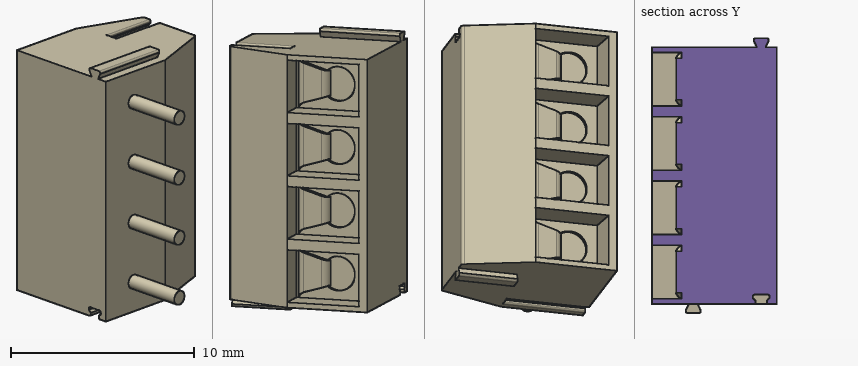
import cadquery as cq
import math

POLES = 4
PITCH = 3.5
HOUSING_WIDTH = 6.8
HOUSING_DEPTH = 8.4
HOUSING_LENGTH = POLES * PITCH
SHOULDER_Y = 4.6
CROWN_INSET = 1.4
CROWN_RADIUS = 0.2

PIN_DIAMETER = 0.8
PIN_LENGTH = 3.5
PIN_Y = 2.15

WINDOW_LENGTH = 2.9
WINDOW_FRONT_Y = 0.47
WINDOW_FLOOR_FRONT_Y = 0.67
WINDOW_DEPTH = 1.6
WIRE_HOLE_DIAMETER = 1.9
WIRE_HOLE_Y = 2.2
WIRE_HOLE_DEPTH = 0.18

GUIDE_RISE = 0.3
GUIDE_ROOT_Y = 4.48
GUIDE_ROOT_FLAT_Y = 4.1
GUIDE_TIP_FLAT_Y = 3.08
GUIDE_TIP_Y = 2.68
GUIDE_FLARE_HALF_WIDTH = 1.1
GUIDE_TIP_HALF_WIDTH = 0.68
GUIDE_FLARE_SAG = 0.07

DOVETAIL_LEFT_X = 2.25
DOVETAIL_RIGHT_X = 5.95
TONGUE_HEIGHT = 0.48
TONGUE_TIP_HEIGHT = 0.15
DOVETAIL_EDGE_RADIUS = 0.1
TONGUE_TIP_HALF_WIDTH = 0.41
TONGUE_NECK_HALF_WIDTH = 0.25
REAR_TONGUE_LENGTH = 3.3
GROOVE_CLEARANCE = 0.04
GROOVE_DEPTH = TONGUE_HEIGHT + GROOVE_CLEARANCE
GROOVE_BASE_HALF_WIDTH = TONGUE_TIP_HALF_WIDTH + GROOVE_CLEARANCE
GROOVE_NECK_HALF_WIDTH = 0.31
GROOVE_LIP_RADIUS = 0.1
GROOVE_NECK_END = 0.2
GROOVE_BASE_START = 0.34


def make_housing():
    """Prism with a tapered rear and rounded rear edges."""
    outline = [
        (0, 0),
        (HOUSING_WIDTH, 0),
        (HOUSING_WIDTH, SHOULDER_Y),
        (HOUSING_WIDTH - CROWN_INSET, HOUSING_DEPTH),
        (CROWN_INSET, HOUSING_DEPTH),
        (0, SHOULDER_Y),
    ]
    housing = cq.Workplane("XY").polyline(outline).close().extrude(HOUSING_LENGTH)
    return housing.faces(">Y").edges("|Z").fillet(CROWN_RADIUS)


def make_pin(z):
    """Round pin standing out of the +X face."""
    return (
        cq.Workplane("YZ", origin=(HOUSING_WIDTH, PIN_Y, z))
        .circle(PIN_DIAMETER / 2)
        .extrude(PIN_LENGTH)
    )


def make_window(z):
    """Window with a sloping front wall, and the wire hole in its floor."""
    outline = [
        (0, WINDOW_FRONT_Y),
        (WINDOW_DEPTH, WINDOW_FLOOR_FRONT_Y),
        (WINDOW_DEPTH, SHOULDER_Y),
        (0, SHOULDER_Y),
    ]
    window = (
        cq.Workplane("XY", origin=(0, 0, z - WINDOW_LENGTH / 2))
        .polyline(outline)
        .close()
        .extrude(WINDOW_LENGTH)
    )
    wire_hole = (
        cq.Workplane("YZ", origin=(WINDOW_DEPTH, WIRE_HOLE_Y, z))
        .circle(WIRE_HOLE_DIAMETER / 2)
        .extrude(WIRE_HOLE_DEPTH)
    )
    return window.union(wire_hole)


def ellipse_midpoint(start, corner, end):
    """Middle of the quarter ellipse from start to end that bulges towards corner."""
    weight = 1 - math.sqrt(0.5)
    return tuple(weight * (s + e) + (1 - 2 * weight) * c for s, c, e in zip(start, corner, end))


def make_guide(z):
    """Raised pad with rounded ends, flared at its root and narrowing to the wire hole."""
    crest_x = WINDOW_DEPTH - GUIDE_RISE
    foot_x = WINDOW_DEPTH + WIRE_HOLE_DEPTH
    root = (WINDOW_DEPTH, GUIDE_ROOT_Y)
    root_flat = (crest_x, GUIDE_ROOT_FLAT_Y)
    tip_flat = (crest_x, GUIDE_TIP_FLAT_Y)
    tip = (foot_x, GUIDE_TIP_Y)
    profile = (
        cq.Workplane("XY", origin=(0, 0, z - WINDOW_LENGTH / 2))
        .moveTo(*root)
        .threePointArc(ellipse_midpoint(root, (crest_x, GUIDE_ROOT_Y), root_flat), root_flat)
        .lineTo(*tip_flat)
        .threePointArc(ellipse_midpoint(tip_flat, (crest_x, GUIDE_TIP_Y), tip), tip)
        .lineTo(foot_x, GUIDE_ROOT_Y)
        .close()
        .extrude(WINDOW_LENGTH)
    )
    root_half = WINDOW_LENGTH / 2
    flare_mid = (
        (GUIDE_ROOT_Y + GUIDE_ROOT_FLAT_Y) / 2,
        (root_half + GUIDE_FLARE_HALF_WIDTH) / 2 - GUIDE_FLARE_SAG,
    )
    plan = (
        cq.Workplane("YZ", origin=(0, 0, z))
        .moveTo(GUIDE_TIP_Y, -GUIDE_TIP_HALF_WIDTH)
        .lineTo(GUIDE_ROOT_FLAT_Y, -GUIDE_FLARE_HALF_WIDTH)
        .threePointArc((flare_mid[0], -flare_mid[1]), (GUIDE_ROOT_Y, -root_half))
        .lineTo(GUIDE_ROOT_Y, root_half)
        .threePointArc(flare_mid, (GUIDE_ROOT_FLAT_Y, GUIDE_FLARE_HALF_WIDTH))
        .lineTo(GUIDE_TIP_Y, GUIDE_TIP_HALF_WIDTH)
        .close()
        .extrude(foot_x)
    )
    return profile.intersect(plan)


def make_tongue(x, z, outward, y_start, y_end):
    """Dovetail tongue along Y; outward is +1 on the top face and -1 on the bottom face."""
    shoulder = TONGUE_HEIGHT - TONGUE_TIP_HEIGHT
    half_outline = [
        (TONGUE_NECK_HALF_WIDTH, 0),
        (TONGUE_TIP_HALF_WIDTH, shoulder),
        (TONGUE_TIP_HALF_WIDTH, TONGUE_HEIGHT),
    ]
    right = [(x + across, z + outward * height) for across, height in half_outline]
    left = [(x - across, z + outward * height) for across, height in reversed(half_outline)]
    return (
        cq.Workplane("XZ", origin=(0, y_start, 0))
        .polyline(right + left)
        .close()
        .extrude(y_start - y_end)
        .faces(">Z" if outward > 0 else "<Z")
        .edges("|Y")
        .fillet(DOVETAIL_EDGE_RADIUS)
    )


def make_groove(x, z, inward, y_start, y_end):
    """Undercut groove along Y with rounded lips; inward is the Z sense into the housing."""
    lip_half = GROOVE_NECK_HALF_WIDTH + GROOVE_LIP_RADIUS
    lip_mid_across = lip_half - GROOVE_LIP_RADIUS * math.sqrt(0.5)
    lip_mid_depth = GROOVE_LIP_RADIUS * (1 - math.sqrt(0.5))

    def point(across, depth):
        return (x + across, z + inward * depth)

    return (
        cq.Workplane("XZ", origin=(0, y_start, 0))
        .moveTo(*point(-lip_half, 0))
        .lineTo(*point(lip_half, 0))
        .threePointArc(
            point(lip_mid_across, lip_mid_depth),
            point(GROOVE_NECK_HALF_WIDTH, GROOVE_LIP_RADIUS),
        )
        .lineTo(*point(GROOVE_NECK_HALF_WIDTH, GROOVE_NECK_END))
        .lineTo(*point(GROOVE_BASE_HALF_WIDTH, GROOVE_BASE_START))
        .lineTo(*point(GROOVE_BASE_HALF_WIDTH, GROOVE_DEPTH))
        .lineTo(*point(-GROOVE_BASE_HALF_WIDTH, GROOVE_DEPTH))
        .lineTo(*point(-GROOVE_BASE_HALF_WIDTH, GROOVE_BASE_START))
        .lineTo(*point(-GROOVE_NECK_HALF_WIDTH, GROOVE_NECK_END))
        .lineTo(*point(-GROOVE_NECK_HALF_WIDTH, GROOVE_LIP_RADIUS))
        .threePointArc(point(-lip_mid_across, lip_mid_depth), point(-lip_half, 0))
        .close()
        .extrude(y_start - y_end)
        .faces(">Z" if inward > 0 else "<Z")
        .edges("|Y")
        .fillet(DOVETAIL_EDGE_RADIUS)
    )


rear_joint_y = HOUSING_DEPTH - REAR_TONGUE_LENGTH
groove_rear_y = rear_joint_y - GROOVE_CLEARANCE
groove_front_y = SHOULDER_Y + GROOVE_CLEARANCE

result = make_housing()
for pole in range(POLES):
    pole_z = (pole + 0.5) * PITCH
    result = result.cut(make_window(pole_z)).union(make_guide(pole_z)).union(make_pin(pole_z))

result = result.cut(make_groove(DOVETAIL_LEFT_X, HOUSING_LENGTH, -1, groove_rear_y, HOUSING_DEPTH))
result = result.cut(make_groove(DOVETAIL_RIGHT_X, 0, 1, 0, groove_front_y))
result = result.union(make_tongue(DOVETAIL_RIGHT_X, HOUSING_LENGTH, 1, 0, SHOULDER_Y))
result = result.union(make_tongue(DOVETAIL_LEFT_X, 0, -1, rear_joint_y, HOUSING_DEPTH))